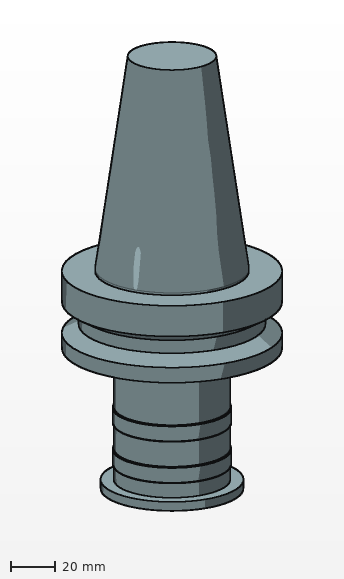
import cadquery as cq

total_height = 206.8

disc_diameter = 65.0
disc_thickness = 4.3
shank_diameter = 53.0

band_diameter = 54.0
band_height = 8.0
band_bottoms = (11.2, 31.0)
band_chamfer = (band_diameter - shank_diameter) / 2

collar_bottom = 62.2
collar_top_diameter = 62.5

flange_diameter = 100.0
flange_bottom = 67.2
flange_top = 104.0
groove_diameter = 85.0
groove_bottom = 74.5
groove_top = 89.3
groove_side_height = 4.3

taper_diameter = 70.0
land_height = 1.2
taper_ratio = 7 / 24
taper_bottom = flange_top + land_height
taper_length = total_height - taper_bottom
taper_tip_diameter = taper_diameter - taper_ratio * taper_length


def cylinder(diameter, bottom, top):
    """Upright cylinder on the Z axis."""
    return cq.Workplane("XY", origin=(0, 0, bottom)).circle(diameter / 2).extrude(top - bottom)


def revolve_profile(points):
    """Solid of revolution about Z from (radius, height) points."""
    return cq.Workplane("XZ").polyline(points).close().revolve(360, (0, 0), (0, 1))


def cone(bottom_diameter, top_diameter, bottom, top):
    """Upright truncated cone on the Z axis."""
    return revolve_profile([
        (0, bottom),
        (bottom_diameter / 2, bottom),
        (top_diameter / 2, top),
        (0, top),
    ])


def make_shank():
    shank = cylinder(disc_diameter, 0, disc_thickness)
    shank = shank.union(cylinder(shank_diameter, disc_thickness, collar_bottom))
    for bottom in band_bottoms:
        band = cylinder(band_diameter, bottom, bottom + band_height)
        shank = shank.union(band.edges().chamfer(band_chamfer))
    return shank.union(cone(shank_diameter, collar_top_diameter, collar_bottom, flange_bottom))


def make_flange():
    outer_radius = flange_diameter / 2
    groove_radius = groove_diameter / 2
    return revolve_profile([
        (0, flange_bottom),
        (outer_radius, flange_bottom),
        (outer_radius, groove_bottom),
        (groove_radius, groove_bottom + groove_side_height),
        (groove_radius, groove_top - groove_side_height),
        (outer_radius, groove_top),
        (outer_radius, flange_top),
        (0, flange_top),
    ])


def make_taper():
    land = cylinder(taper_diameter, flange_top, taper_bottom)
    return land.union(cone(taper_diameter, taper_tip_diameter, taper_bottom, total_height))


result = make_shank().union(make_flange()).union(make_taper())